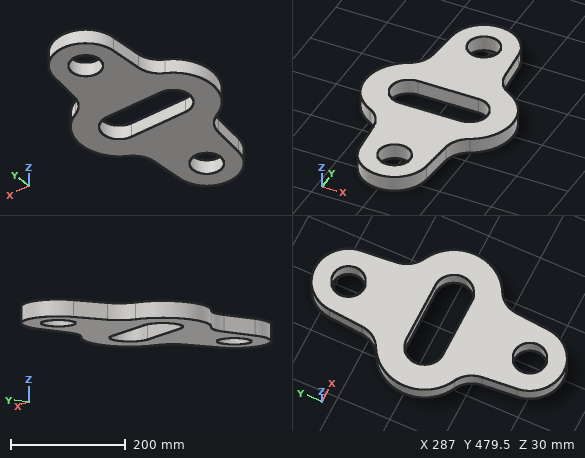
import cadquery as cq
import math

length = 479.5
width = 287.0
thickness = 30.0
hole_diameter = 60.0
ear_radius = 64.5
slot_length = 188.0
slot_width = 70.0
fillet_radius = 50.0
flank_angle = math.radians(5.0)

hole_y = length / 2 - ear_radius
lobe_x = (slot_length - slot_width) / 2
lobe_radius = width / 2 - lobe_x

normal_x = math.cos(flank_angle)
normal_y = math.sin(flank_angle)

flank_distance = hole_y * normal_y + ear_radius
across = flank_distance + fillet_radius - lobe_x * normal_x
along = math.sqrt((lobe_radius + fillet_radius) ** 2 - across**2)
fillet_x = lobe_x + across * normal_x - along * normal_y
fillet_y = across * normal_y + along * normal_x

ear_end = (ear_radius * normal_x, hole_y + ear_radius * normal_y)
flank_end = (fillet_x - fillet_radius * normal_x, fillet_y - fillet_radius * normal_y)
lobe_angle = math.atan2(fillet_y, fillet_x - lobe_x)
lobe_end = (
    lobe_x + lobe_radius * math.cos(lobe_angle),
    lobe_radius * math.sin(lobe_angle),
)
fillet_mid_angle = math.pi + (flank_angle + lobe_angle) / 2
fillet_mid = (
    fillet_x + fillet_radius * math.cos(fillet_mid_angle),
    fillet_y + fillet_radius * math.sin(fillet_mid_angle),
)


def mirrored(point, side_x, side_y):
    """Move a point of the upper right quarter to another quarter."""
    return (side_x * point[0], side_y * point[1])


def add_side(outline, side_x, start_y):
    """Continue the outline along one long side, from ear to ear."""
    end_y = -start_y
    return (
        outline.lineTo(*mirrored(flank_end, side_x, start_y))
        .threePointArc(mirrored(fillet_mid, side_x, start_y), mirrored(lobe_end, side_x, start_y))
        .threePointArc((side_x * width / 2, 0), mirrored(lobe_end, side_x, end_y))
        .threePointArc(mirrored(fillet_mid, side_x, end_y), mirrored(flank_end, side_x, end_y))
        .lineTo(*mirrored(ear_end, side_x, end_y))
    )


outline = cq.Workplane("XY").moveTo(*ear_end)
outline = add_side(outline, 1, 1)
outline = outline.threePointArc((0, -length / 2), mirrored(ear_end, -1, -1))
outline = add_side(outline, -1, -1)
outline = outline.threePointArc((0, length / 2), ear_end)
plate = outline.close().extrude(thickness)

holes = (
    cq.Workplane("XY")
    .pushPoints([(0, hole_y), (0, -hole_y)])
    .circle(hole_diameter / 2)
    .extrude(thickness)
)
slot = cq.Workplane("XY").slot2D(slot_length, slot_width).extrude(thickness)

result = plate.cut(holes).cut(slot)